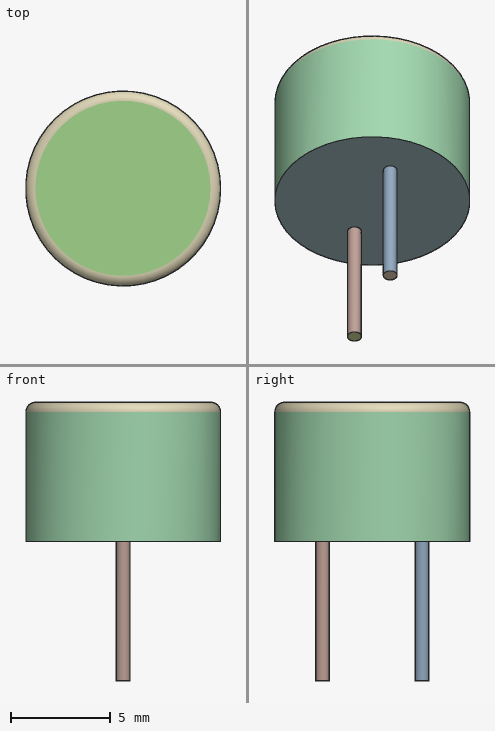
import cadquery as cq

can_diameter = 9.8
can_height = 7.0
rim_radius = 0.5

lead_diameter = 0.7
lead_length = 7.0
lead_pitch = 5.0


def make_can():
    """Solid cylinder with a rounded top rim."""
    can = cq.Workplane("XY").circle(can_diameter / 2).extrude(can_height)
    return can.faces(">Z").edges().fillet(rim_radius)


def make_lead(y_position):
    """Round lead whose top end touches the underside of the can."""
    return (
        cq.Workplane("XY")
        .center(0, y_position)
        .circle(lead_diameter / 2)
        .extrude(-lead_length)
    )


can = make_can()
leads = [make_lead(side * lead_pitch / 2) for side in (-1, 1)]

result = cq.Compound.makeCompound([can.val(), *[lead.val() for lead in leads]])